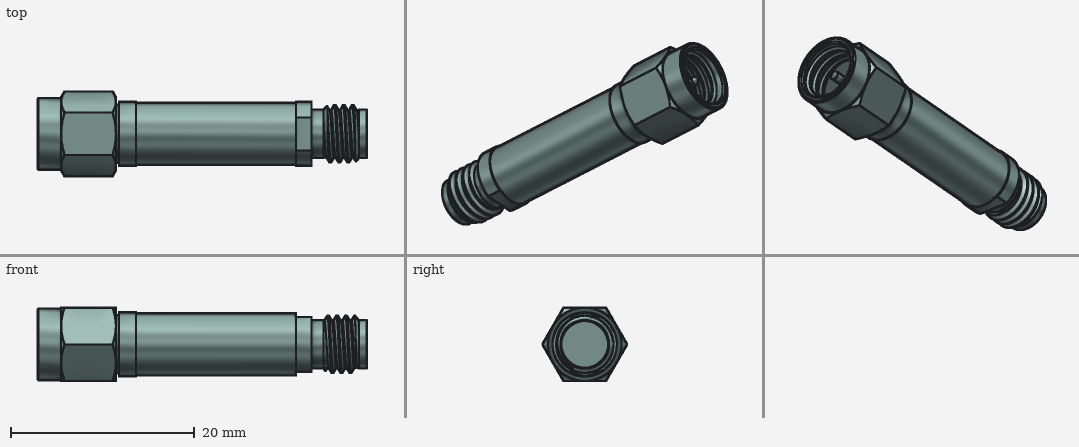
import cadquery as cq
import math


TOTAL_LENGTH = 35.9
HEX_START = 2.6
HEX_END = 8.55
COLLAR_START = 8.88
COLLAR_END = 10.74
WRENCH_START = 28.15
WRENCH_END = 29.86
JACK_THREAD_START = 31.15
JACK_THREAD_END = 35.0

HEX_ACROSS_FLATS = 8.0
HEX_ACROSS_CORNERS = HEX_ACROSS_FLATS / math.cos(math.radians(30))
HEX_CHAMFER_ANGLE = 30
SLEEVE_RADIUS = 3.92
SLEEVE_CHAMFER_LENGTH = 0.13
SLEEVE_CHAMFER_HEIGHT = 0.2
BORE_RADIUS = 3.2
BORE_DEPTH = 3.8
BORE_MOUTH_CHAMFER = 0.2

PIN_RADIUS = 0.48
PIN_TIP_RADIUS = 0.15
PIN_TIP_DEPTH = 0.9
PIN_SHOULDER_DEPTH = 1.45

NECK_RADIUS = 3.2
COLLAR_RADIUS = 3.5
BODY_RADIUS = 3.4
WRENCH_FLATS_WIDTH = 6.0

JACK_RADIUS = 2.65
JACK_THREAD_ROOT_RADIUS = 2.58
JACK_CHAMFER = 0.1
JACK_THREAD_RADIUS = 3.12
JACK_RUNOUT_LENGTH = 0.45

JACK_THREAD_PITCH = 0.98
NUT_THREAD_PITCH = 1.15
THREAD_CREST_WIDTH = 0.16
THREAD_EMBED = 0.05
JACK_THREAD_BASE_WIDTH = 0.86
NUT_THREAD_CREST_RADIUS = 2.85
NUT_THREAD_BASE_WIDTH = 0.75
NUT_THREAD_FIRST_CREST = 0.55
NUT_THREAD_LENGTH = 3.2


def cylinder(start, end, radius):
    """Solid cylinder on the X axis between two stations."""
    return cq.Workplane("YZ", origin=(start, 0, 0)).circle(radius).extrude(end - start)


def revolve_profile(points):
    """Revolve a closed outline of (x, radius) points about the X axis."""
    return cq.Workplane("XY").polyline(points).close().revolve(360, (0, 0, 0), (1, 0, 0))


def thread_ridge(first_crest, length, pitch, root_radius, crest_radius, base_width):
    """Right-hand helical ridge on the X axis whose first crest lies on the -Z side.

    A crest radius below the root radius gives an internal thread.
    """
    embed = math.copysign(THREAD_EMBED, root_radius - crest_radius)
    base_radius = root_radius + embed
    helix = cq.Wire.makeHelix(pitch, length, root_radius)
    ridge = (
        cq.Workplane("XZ")
        .polyline([
            (base_radius, -base_width / 2),
            (crest_radius, -THREAD_CREST_WIDTH / 2),
            (crest_radius, THREAD_CREST_WIDTH / 2),
            (base_radius, base_width / 2),
        ])
        .close()
        .sweep(cq.Workplane(helix), isFrenet=True)
    )
    return ridge.rotate((0, 0, 0), (0, 1, 0), 90).translate((first_crest, 0, 0))


def make_hex():
    """Hexagon with corners on +-Y, both ends turned to a cone."""
    corner_radius = HEX_ACROSS_CORNERS / 2
    end_radius = HEX_ACROSS_FLATS / 2
    cone_length = (corner_radius - end_radius) * math.tan(math.radians(HEX_CHAMFER_ANGLE))
    prism = (
        cq.Workplane("YZ", origin=(HEX_START, 0, 0))
        .polygon(6, HEX_ACROSS_CORNERS)
        .extrude(HEX_END - HEX_START)
    )
    envelope = revolve_profile([
        (HEX_START, 0),
        (HEX_START, end_radius),
        (HEX_START + cone_length, corner_radius),
        (HEX_END - cone_length, corner_radius),
        (HEX_END, end_radius),
        (HEX_END, 0),
    ])
    return prism.intersect(envelope)


def make_nut():
    """Sleeve and hexagon with the threaded socket open at X = 0.

    The countersunk mouth also bevels the first turn of the thread.
    """
    sleeve = revolve_profile([
        (0, 0),
        (0, SLEEVE_RADIUS - SLEEVE_CHAMFER_HEIGHT),
        (SLEEVE_CHAMFER_LENGTH, SLEEVE_RADIUS),
        (HEX_START, SLEEVE_RADIUS),
        (HEX_START, 0),
    ])
    bore = cylinder(0, BORE_DEPTH, BORE_RADIUS)
    ridge = thread_ridge(
        NUT_THREAD_FIRST_CREST,
        NUT_THREAD_LENGTH,
        NUT_THREAD_PITCH,
        BORE_RADIUS,
        NUT_THREAD_CREST_RADIUS,
        NUT_THREAD_BASE_WIDTH,
    )
    mouth_radius = BORE_RADIUS + BORE_MOUTH_CHAMFER
    countersink = revolve_profile([(0, 0), (0, mouth_radius), (mouth_radius, 0)])
    return sleeve.union(make_hex()).cut(bore).union(ridge).cut(countersink)


def make_pin():
    """Centre contact with a tapered tip, rising from the socket floor."""
    return revolve_profile([
        (PIN_TIP_DEPTH, 0),
        (PIN_TIP_DEPTH, PIN_TIP_RADIUS),
        (PIN_SHOULDER_DEPTH, PIN_RADIUS),
        (BORE_DEPTH, PIN_RADIUS),
        (BORE_DEPTH, 0),
    ])


def make_body():
    """Neck, collar, barrel and the section with two wrench flats facing +-Z."""
    neck = cylinder(HEX_END, COLLAR_START, NECK_RADIUS)
    collar = cylinder(COLLAR_START, COLLAR_END, COLLAR_RADIUS)
    barrel = cylinder(COLLAR_END, WRENCH_START, BODY_RADIUS)
    flats_slab = cq.Workplane("YZ", origin=(WRENCH_START, 0, 0)).rect(
        2 * COLLAR_RADIUS, WRENCH_FLATS_WIDTH
    ).extrude(WRENCH_END - WRENCH_START)
    wrench = cylinder(WRENCH_START, WRENCH_END, COLLAR_RADIUS).intersect(flats_slab)
    return neck.union(collar).union(barrel).union(wrench)


def make_jack():
    """Male-threaded end whose ridge is bevelled down at both ends of a slightly necked core."""
    rear = cylinder(WRENCH_END, JACK_THREAD_START, JACK_RADIUS)
    thread_core = cylinder(JACK_THREAD_START, JACK_THREAD_END, JACK_THREAD_ROOT_RADIUS)
    nose = cylinder(JACK_THREAD_END, TOTAL_LENGTH, JACK_RADIUS).faces(">X").chamfer(JACK_CHAMFER)
    ridge = thread_ridge(
        JACK_THREAD_START,
        JACK_THREAD_END - JACK_THREAD_START,
        JACK_THREAD_PITCH,
        JACK_THREAD_ROOT_RADIUS,
        JACK_THREAD_RADIUS,
        JACK_THREAD_BASE_WIDTH,
    )
    runout_envelope = revolve_profile([
        (JACK_THREAD_START, 0),
        (JACK_THREAD_START, JACK_RADIUS),
        (JACK_THREAD_START + JACK_RUNOUT_LENGTH, JACK_THREAD_RADIUS),
        (JACK_THREAD_END - JACK_RUNOUT_LENGTH, JACK_THREAD_RADIUS),
        (JACK_THREAD_END, JACK_RADIUS),
        (JACK_THREAD_END, 0),
    ])
    return rear.union(thread_core).union(nose).union(ridge.intersect(runout_envelope))


result = make_nut().union(make_pin()).union(make_body()).union(make_jack())